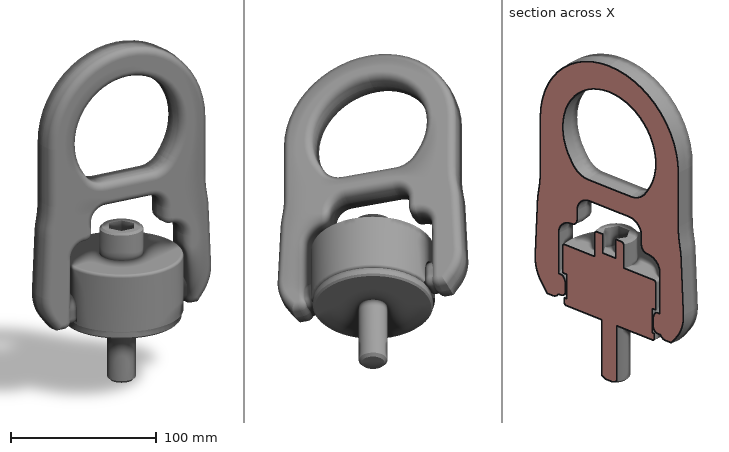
import cadquery as cq
import math


PLATE_RADIUS = 41.2
PLATE_TOP = 6.0
PLATE_CHAMFER = 1.2
BODY_DIAMETER = 85.0
BODY_RADIUS = BODY_DIAMETER / 2
BODY_TOP = 47.5
BODY_ROUND = 2.0

SHANK_RADIUS = 9.9
SHANK_LENGTH = 45.1
SHANK_CHAMFER = 2.0
HEAD_RADIUS = 15.0
HEAD_TOP = 67.5
HEAD_CHAMFER = 1.5
SOCKET_FLATS = 17.0
SOCKET_DEPTH = 14.8

RING_THICKNESS = 22.0
RING_DRAFT = 5
RING_EDGE_ROUND = 5
RING_RADIUS = 62.6
TOTAL_HEIGHT = 246.5
RING_TOP = TOTAL_HEIGHT - SHANK_LENGTH
RING_CENTER = RING_TOP - RING_RADIUS

EYE_RADIUS = 40.7
EYE_FLOOR = 106.3
EYE_FLOOR_HALF = 19.0
EYE_TANGENT_ANGLE = 34

FLARE_TOP = 96.7
FLARE_RADIUS = 79
FLARE_LEAN = 11
FLANK_RADIUS = 61.6
FLANK_LEAN = 2.7
FLANK_BOTTOM = 29.5
FOOT_RADIUS = 30.5
FOOT_LEAN = -37
FOOT_BOTTOM = 3.0

LEG_INNER = 44.5
STEP_HEIGHT = 64.9
NOTCH_HALF = 27.9
NOTCH_TOP = 88.3
INWARD_CORNER_RADIUS = 10.0
OUTWARD_CORNER_RADIUS = 6.0

TRUNNION_CENTER = 16.8
TRUNNION_RADIUS = 9.5
TRUNNION_ROUND = 5
TRUNNION_OUTER = 49.3
SLOT_RADIUS = 10.5
SLOT_INNER = 38.5


def arched_bar(half_width, bottom, arch_center, inner, outer):
    """Bar along +Y with upright sides and a round top."""
    return (
        cq.Workplane("XZ", origin=(0, inner, 0))
        .moveTo(-half_width, bottom)
        .lineTo(half_width, bottom)
        .lineTo(half_width, arch_center)
        .threePointArc((0, arch_center + half_width), (-half_width, arch_center))
        .close()
        .extrude(inner - outer)
    )


def both_sides(solid):
    """The solid together with its mirror image across Y = 0."""
    return solid.union(solid.mirror("XZ"))


def make_hub():
    """Base plate and swivel body, the body slotted on both Y sides for the trunnions."""
    plate = cq.Workplane("XY").circle(PLATE_RADIUS).extrude(PLATE_TOP)
    plate = plate.faces("<Z").chamfer(PLATE_CHAMFER)
    body = (
        cq.Workplane("XY", origin=(0, 0, PLATE_TOP))
        .circle(BODY_RADIUS)
        .extrude(BODY_TOP - PLATE_TOP)
        .faces(">Z").edges().fillet(BODY_ROUND)
    )
    slot = arched_bar(SLOT_RADIUS, PLATE_TOP, TRUNNION_CENTER, SLOT_INNER, BODY_DIAMETER)
    slotted = body.cut(both_sides(slot))

    rim_half = cq.selectors.BoxSelector(
        (-BODY_DIAMETER, -BODY_DIAMETER, PLATE_TOP - BODY_ROUND),
        (-SLOT_RADIUS, BODY_DIAMETER, PLATE_TOP + BODY_ROUND),
    )
    slotted = slotted.edges(rim_half).edges("%CIRCLE").fillet(BODY_ROUND)
    return plate.union(slotted)


def make_screw():
    """Screw shank and head, running through the hub on its axis."""
    shank = (
        cq.Workplane("XY", origin=(0, 0, -SHANK_LENGTH))
        .circle(SHANK_RADIUS)
        .extrude(SHANK_LENGTH + PLATE_TOP)
        .faces("<Z").chamfer(SHANK_CHAMFER)
    )
    head = (
        cq.Workplane("XY", origin=(0, 0, PLATE_TOP))
        .circle(HEAD_RADIUS)
        .extrude(HEAD_TOP - PLATE_TOP)
        .faces(">Z").chamfer(HEAD_CHAMFER)
    )
    return shank.union(head)


def make_socket():
    """Hexagonal key socket with two of its corners on the Y axis."""
    across_corners = SOCKET_FLATS / math.cos(math.radians(30))
    return (
        cq.Workplane("XY", origin=(0, 0, HEAD_TOP))
        .transformed(rotate=(0, 0, 90))
        .polygon(6, across_corners)
        .extrude(-SOCKET_DEPTH)
    )


def bend(outline, start, radius, start_lean, end_lean):
    """Add an arc that turns a downward path between two leans; return the outline and its end."""
    signed_radius = math.copysign(radius, end_lean - start_lean)
    start_turn = math.radians(start_lean)

    def point(lean):
        turn = math.radians(lean)
        return (
            start[0] + signed_radius * (math.cos(start_turn) - math.cos(turn)),
            start[1] - signed_radius * (math.sin(turn) - math.sin(start_turn)),
        )
    end = point(end_lean)
    return outline.threePointArc(point((start_lean + end_lean) / 2), end), end


def run_down(outline, start, lean, height):
    """Add a straight at the given lean down to a height; return the outline and its end."""
    end = (start[0] + (start[1] - height) * math.tan(math.radians(lean)), height)
    return outline.lineTo(*end), end


def corner(outline, center, radius, start_angle, end_angle):
    """Run the outline straight to an arc about center, then round it; angles in degrees."""
    def point(angle):
        turn = math.radians(angle)
        return (center[0] + radius * math.cos(turn), center[1] + radius * math.sin(turn))
    return (
        outline.lineTo(*point(start_angle))
        .threePointArc(point((start_angle + end_angle) / 2), point(end_angle))
    )


def ring_outline():
    """Outer boundary of the ring and the stepped opening between its legs."""
    outline = (
        cq.Workplane("YZ")
        .moveTo(0, RING_TOP)
        .radiusArc((RING_RADIUS, RING_CENTER), RING_RADIUS)
    )
    outline, end = run_down(outline, (RING_RADIUS, RING_CENTER), 0, FLARE_TOP)
    outline, end = bend(outline, end, FLARE_RADIUS, 0, FLARE_LEAN)
    outline, end = bend(outline, end, FLANK_RADIUS, FLARE_LEAN, FLANK_LEAN)
    outline, end = run_down(outline, end, FLANK_LEAN, FLANK_BOTTOM)
    outline, end = bend(outline, end, FOOT_RADIUS, FLANK_LEAN, FOOT_LEAN)
    outline, end = run_down(outline, end, FOOT_LEAN, FOOT_BOTTOM)

    steps = ((LEG_INNER, FOOT_BOTTOM, STEP_HEIGHT), (NOTCH_HALF, STEP_HEIGHT, NOTCH_TOP))
    for side, bottom, top in steps:
        outward_center = (side + OUTWARD_CORNER_RADIUS, bottom + OUTWARD_CORNER_RADIUS)
        inward_center = (side - INWARD_CORNER_RADIUS, top - INWARD_CORNER_RADIUS)
        outline = corner(outline, outward_center, OUTWARD_CORNER_RADIUS, 270, 180)
        outline = corner(outline, inward_center, INWARD_CORNER_RADIUS, 0, 90)
    return outline.lineTo(0, NOTCH_TOP).mirrorY()


def eye_outline():
    """Boundary of the eye: circle, short tangent straight, rounded corner and flat floor."""
    sine = math.sin(math.radians(EYE_TANGENT_ANGLE))
    cosine = math.cos(math.radians(EYE_TANGENT_ANGLE))
    floor_depth = RING_CENTER - EYE_FLOOR
    corner_radius = (EYE_RADIUS - EYE_FLOOR_HALF * cosine - floor_depth * sine) / (1 - sine)
    corner_center = (EYE_FLOOR_HALF, EYE_FLOOR + corner_radius)

    outline = (
        cq.Workplane("YZ")
        .moveTo(0, RING_CENTER + EYE_RADIUS)
        .threePointArc(
            (EYE_RADIUS, RING_CENTER),
            (EYE_RADIUS * cosine, RING_CENTER - EYE_RADIUS * sine),
        )
    )
    outline = corner(outline, corner_center, corner_radius, -EYE_TANGENT_ANGLE, -90)
    return outline.lineTo(0, EYE_FLOOR).mirrorY()


def make_ring():
    """Ring drafted from its mid plane to both faces, with rounded face edges."""
    half_thickness = RING_THICKNESS / 2
    blank = ring_outline().extrude(half_thickness, taper=RING_DRAFT)
    eye = eye_outline().extrude(half_thickness, taper=-RING_DRAFT)
    half = blank.cut(eye).faces(">X").edges().fillet(RING_EDGE_ROUND)
    return half.union(half.mirror("YZ"))


def make_trunnions():
    """Arched stubs from the slot ends out into the legs, rounded at the nose and underneath."""
    trunnion = arched_bar(
        TRUNNION_RADIUS, PLATE_TOP, TRUNNION_CENTER, SLOT_INNER, TRUNNION_OUTER
    )
    trunnion = trunnion.faces("<Y or <Z").edges("not >Y").fillet(TRUNNION_ROUND)
    return both_sides(trunnion)


hub_and_screw = make_hub().union(make_screw()).cut(make_socket())
result = hub_and_screw.union(make_trunnions()).union(make_ring())